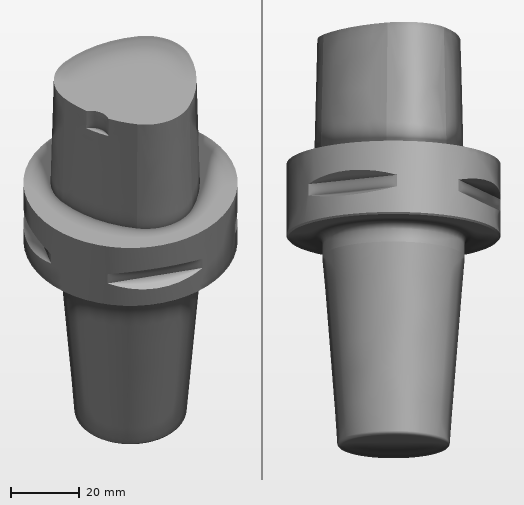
import cadquery as cq
import math


SHANK_LENGTH = 38.0
TAPER_HALF_ANGLE = math.degrees(math.atan(1 / 40))
LOBE_OFFSET = 8.9
LOBE_RADIUS = 14.6
FLANK_DISTANCE = 20.4
LOBE_COUNT = 3
LOBE_SPACING = 360 / LOBE_COUNT
FLANK_ANGLE = -90.0

KEYWAY_RADIUS = 5.4
KEYWAY_LENGTH = 6.3
KEYWAY_FLOOR = 17.8

FLANGE_DIAMETER = 63.0
FLANGE_HEIGHT = 22.0
FLANGE_CHAMFER = 0.5

SLOT_COUNT = 4
SLOT_FIRST_ANGLE = 45.0
SLOT_FLOOR = 28.0
SLOT_FLOOR_HEIGHT = 3.4
SLOT_WALL_ANGLE = 30.0
SLOT_CENTRE_Z = -12.0

NECK_DIAMETER = 41.9
NECK_FILLET = 2.0
NECK_END_Z = -28.0
NOSE_END_Z = -85.0
NOSE_HALF_ANGLE = 4.5
NOSE_EDGE_FILLET = 1.0


def polar(distance, angle):
    """Point at a distance from the axis in a direction given in degrees."""
    return (
        distance * math.cos(math.radians(angle)),
        distance * math.sin(math.radians(angle)),
    )


def make_shank():
    """Tapered three-lobed shank with tangent flank and lobe arcs."""
    lobe_along = LOBE_OFFSET * math.cos(math.radians(LOBE_SPACING / 2))
    lobe_across = LOBE_OFFSET * math.sin(math.radians(LOBE_SPACING / 2))

    reach = FLANK_DISTANCE - lobe_along
    flank_radius = (LOBE_RADIUS**2 - reach**2 - lobe_across**2) / (2 * (LOBE_RADIUS - reach))

    tangent_angle = math.asin(lobe_across / (flank_radius - LOBE_RADIUS))
    seam_along = FLANK_DISTANCE - flank_radius * (1 - math.cos(tangent_angle))
    seam_across = flank_radius * math.sin(tangent_angle)
    seam_distance = math.hypot(seam_along, seam_across)
    seam_angle = math.degrees(math.atan2(seam_across, seam_along))

    outline = cq.Workplane("XY").moveTo(*polar(seam_distance, FLANK_ANGLE - seam_angle))
    for index in range(LOBE_COUNT):
        flank = FLANK_ANGLE + index * LOBE_SPACING
        lobe = flank + LOBE_SPACING / 2
        next_flank = flank + LOBE_SPACING
        outline = outline.threePointArc(
            polar(FLANK_DISTANCE, flank),
            polar(seam_distance, flank + seam_angle),
        )
        outline = outline.threePointArc(
            polar(LOBE_OFFSET + LOBE_RADIUS, lobe),
            polar(seam_distance, next_flank - seam_angle),
        )
    return outline.close().extrude(SHANK_LENGTH, taper=TAPER_HALF_ANGLE)


def make_keyway():
    """Cylindrical cutter for the notch at the top of the front flank."""
    return (
        cq.Workplane("XY", origin=(0, 0, SHANK_LENGTH - KEYWAY_LENGTH))
        .center(*polar(KEYWAY_FLOOR + KEYWAY_RADIUS, FLANK_ANGLE))
        .circle(KEYWAY_RADIUS)
        .extrude(KEYWAY_LENGTH)
    )


def make_flange_and_nose():
    """Body of revolution: flange, filleted neck and conical nose."""
    flange_radius = FLANGE_DIAMETER / 2
    neck_radius = NECK_DIAMETER / 2
    nose_length = NECK_END_Z - NOSE_END_Z
    tip_radius = neck_radius - nose_length * math.tan(math.radians(NOSE_HALF_ANGLE))
    fillet_end_z = -FLANGE_HEIGHT - NECK_FILLET
    fillet_reach = NECK_FILLET * (1 - math.sqrt(0.5))

    profile = (
        cq.Workplane("XZ")
        .lineTo(flange_radius, 0)
        .lineTo(flange_radius, -FLANGE_HEIGHT + FLANGE_CHAMFER)
        .lineTo(flange_radius - FLANGE_CHAMFER, -FLANGE_HEIGHT)
        .lineTo(neck_radius + NECK_FILLET, -FLANGE_HEIGHT)
        .threePointArc(
            (neck_radius + fillet_reach, -FLANGE_HEIGHT - fillet_reach),
            (neck_radius, fillet_end_z),
        )
        .lineTo(neck_radius, NECK_END_Z)
        .lineTo(tip_radius, NOSE_END_Z)
        .lineTo(0, NOSE_END_Z)
        .close()
    )
    body = profile.revolve(360, (0, 0, 0), (0, 1, 0))
    return body.faces("<Z").edges().fillet(NOSE_EDGE_FILLET)


def make_slot(angle):
    """Cutter for one gripper slot: flat floor with walls that open outward."""
    flange_radius = FLANGE_DIAMETER / 2
    depth = flange_radius - SLOT_FLOOR
    floor_half = SLOT_FLOOR_HEIGHT / 2
    mouth_half = floor_half + depth * math.tan(math.radians(SLOT_WALL_ANGLE))
    return (
        cq.Workplane("XZ", origin=(0, 0, SLOT_CENTRE_Z))
        .moveTo(SLOT_FLOOR, -floor_half)
        .lineTo(flange_radius, -mouth_half)
        .lineTo(flange_radius, mouth_half)
        .lineTo(SLOT_FLOOR, floor_half)
        .close()
        .extrude(flange_radius, both=True)
        .rotate((0, 0, 0), (0, 0, 1), angle)
    )


shank = make_shank().cut(make_keyway())
result = make_flange_and_nose().union(shank)
for slot_index in range(SLOT_COUNT):
    result = result.cut(make_slot(SLOT_FIRST_ANGLE + slot_index * 360 / SLOT_COUNT))